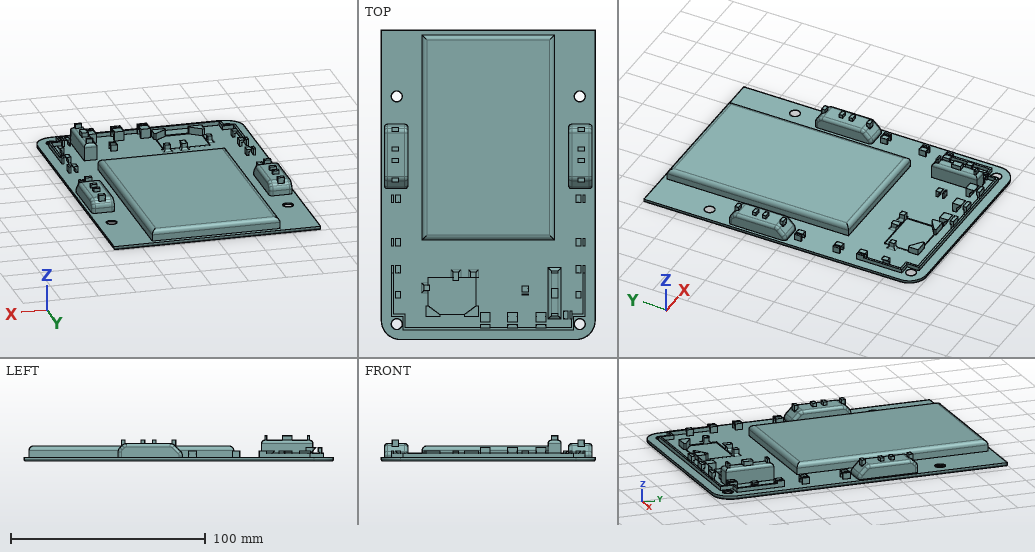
import cadquery as cq

PLATE_WIDTH = 110.0
PLATE_LENGTH = 159.0
PLATE_THICKNESS = 2.0
PLATE_EDGE_RADIUS = 1.0
FRONT_CORNER_RADIUS = 10.0
HALF_WIDTH = PLATE_WIDTH / 2

SINK = 0.2

HOLE_DIAMETER = 5.5
HOLE_INSET = 8.0
COUNTERSINK_DIAMETER = 11.0
HOLE_LAND = 0.2
REAR_HOLE_Y = 125.0

LIP_TOP = 4.1
HOLDER_TOP = 5.3
LED_HOLDER_TOP = 7.0
BATTERY_TOP = 7.9
COVER_TOP = 9.1
COVER_PIN_TOP = 10.9
SWITCH_TOP = 10.8
OVERALL_HEIGHT = 13.1

BATTERY_WIDTH = 68.0
BATTERY_FRONT_Y = 51.2
BATTERY_REAR_Y = 156.5
BATTERY_EDGE_RADIUS = 2.5

LIP_THICKNESS = 1.1
LIP_INSET = 5.3
LIP_FRONT_Y = 5.1
LIP_REAR_Y = 38.2
NOTCH_X_INSET = 11.2
NOTCH_REAR_Y = 12.0

COVER_INSET = 1.6
COVER_WIDTH = 12.2
COVER_FRONT_Y = 77.6
COVER_REAR_Y = 110.7
COVER_SIDE_RADIUS = 1.7
COVER_FRONT_SLOPE = 5.0
COVER_REAR_SLOPE = 3.1
COVER_BEND_RADIUS = 3.3
COVER_PIN_WIDTH = 3.4
COVER_PIN_LENGTH = 2.0
COVER_PIN_INSET = 5.6
COVER_PIN_CENTRE_Y = 95.0
COVER_PIN_OFFSETS = (-13.0, -2.9, 2.9, 13.0)
COVER_PIN_BOTTOM = 7.6

HOLDER_NOSE = 1.6

SIDE_BLOCK_INSET = 7.3
SIDE_BLOCK_WIDTH = 2.7
SIDE_HOLDER_LENGTH = 3.9
SIDE_HOLDER_FRONT_YS = (34.3, 48.1, 70.5)
FRONT_BLOCK_Y = 21.4
FRONT_BLOCK_LENGTH = 3.4

LED_HOLDER_WIDTH = 5.0
LED_HOLDER_XS = (-1.6, 12.5, 27.1)
LED_BLOCK_FRONT_Y = 9.0
LED_BLOCK_LENGTH = 5.0
LED_BLOCK_NOSE = 2.8
LED_PLATE_REAR_Y = 7.9
LED_PLATE_NOSE = 0.6
LED_PLATE_TIP_HEIGHT = 1.9

CENTRE_HOLDER_X = 18.9
CENTRE_HOLDER_WIDTH = 3.3
CENTRE_PLATE_Y = 22.9
CENTRE_PLATE_THICKNESS = 0.6
CENTRE_BLOCK_Y = 24.6
CENTRE_BLOCK_LENGTH = 2.9
CORNER_HOLDER_Y = 10.7
CORNER_HOLDER_LENGTH = 4.0
CORNER_BLOCK_X = 38.6
CORNER_BLOCK_WIDTH = 2.3
CORNER_PLATE_X = 41.9
CORNER_PLATE_THICKNESS = 1.2

RECESS_LEFT = -30.9
RECESS_RIGHT = -6.2
RECESS_FRONT_Y = 12.9
RECESS_REAR_Y = 32.0
RECESS_CORNER_X = 6.1
RECESS_CORNER_Y = 4.5
RECESS_DEPTH = 0.5
STOP_MARGIN = 1.1
CLIP_WIDTH = 2.8
CLIP_FLARE = 1.1
REAR_CLIP_LENGTH = 2.8
LEFT_CLIP_LENGTH = 2.2
NOSED_REAR_CLIP_X = -16.6
PLAIN_REAR_CLIP_X = -7.6
LEFT_CLIP_Y = 26.6
REAR_CLIP_NOSE = 1.7
LEFT_CLIP_NOSE = 0.6

SWITCH_LEFT = 30.7
SWITCH_WIDTH = 6.8
SWITCH_FRONT_Y = 10.6
SWITCH_LENGTH = 26.4
SWITCH_EDGE_RADIUS = 1.7
SWITCH_TAB_THICKNESS = 1.1
SWITCH_SLIDER_LENGTH = 5.0


def block(x, y, width, length, top, bottom=PLATE_THICKNESS - SINK):
    """Upright box with its lower front left corner at (x, y, bottom)."""
    return cq.Workplane("XY").box(width, length, top - bottom, centered=False).translate((x, y, bottom))


def hooked_block(width, length, top, nose, tip_height=0.0):
    """Block centred on X whose -Y face is undercut at 45 degrees below a nose with its tip at Y = 0."""
    base = PLATE_THICKNESS - SINK
    profile = [
        (length, base),
        (length, top),
        (0, top),
        (0, top - tip_height),
        (nose, top - tip_height - nose),
        (nose, base),
    ]
    if tip_height == 0:
        profile.pop(3)
    start = (-width / 2, 0, 0)
    return cq.Workplane("YZ", origin=start).polyline(profile).close().extrude(width)


def turned(shape, angle):
    """Shape turned anticlockwise about Z."""
    return shape.rotate((0, 0, 0), (0, 0, 1), angle)


def both_sides(shape):
    return shape.union(shape.mirror("YZ"))


def plate():
    body = block(-HALF_WIDTH, 0, PLATE_WIDTH, PLATE_LENGTH, PLATE_THICKNESS, 0)
    body = body.edges("|Z and <Y").fillet(FRONT_CORNER_RADIUS)
    body = body.faces("<Z").edges().fillet(PLATE_EDGE_RADIUS)
    hole_x = HALF_WIDTH - HOLE_INSET
    centres = [(x, y) for x in (-hole_x, hole_x) for y in (HOLE_INSET, REAR_HOLE_Y)]
    land_bottom = PLATE_THICKNESS - HOLE_LAND
    half_section = [
        (0, 0),
        (COUNTERSINK_DIAMETER / 2, 0),
        (HOLE_DIAMETER / 2, land_bottom),
        (HOLE_DIAMETER / 2, PLATE_THICKNESS),
        (0, PLATE_THICKNESS),
    ]
    hole = cq.Workplane("XZ").polyline(half_section).close().revolve(axisEnd=(0, 1))
    for x, y in centres:
        body = body.cut(hole.translate((x, y, 0)))
    return body


def battery_housing():
    length = BATTERY_REAR_Y - BATTERY_FRONT_Y
    body = block(-BATTERY_WIDTH / 2, BATTERY_FRONT_Y, BATTERY_WIDTH, length, BATTERY_TOP)
    return body.faces(">Z").edges().fillet(BATTERY_EDGE_RADIUS)


def lip():
    """Thin wall along the front and sides that steps around the two front holes."""

    def area(offset, rear_y):
        side_x = HALF_WIDTH - LIP_INSET - offset
        notch_x = HALF_WIDTH - NOTCH_X_INSET - offset
        front_y = LIP_FRONT_Y + offset
        notch_y = NOTCH_REAR_Y + offset
        outline = [
            (-side_x, rear_y),
            (-side_x, notch_y),
            (-notch_x, notch_y),
            (-notch_x, front_y),
            (notch_x, front_y),
            (notch_x, notch_y),
            (side_x, notch_y),
            (side_x, rear_y),
        ]
        base = PLATE_THICKNESS - SINK
        return cq.Workplane("XY", origin=(0, 0, base)).polyline(outline).close().extrude(LIP_TOP - base)

    return area(0, LIP_REAR_Y).cut(area(LIP_THICKNESS, LIP_REAR_Y + LIP_THICKNESS))


def side_cover():
    """Cover with a bent front and rear slope, rounded along its sides, and its four pins."""
    left = COVER_INSET - HALF_WIDTH
    base = PLATE_THICKNESS - SINK
    profile = [
        (COVER_FRONT_Y, base),
        (COVER_FRONT_Y, COVER_TOP - COVER_FRONT_SLOPE),
        (COVER_FRONT_Y + COVER_FRONT_SLOPE, COVER_TOP),
        (COVER_REAR_Y - COVER_REAR_SLOPE, COVER_TOP),
        (COVER_REAR_Y, COVER_TOP - COVER_REAR_SLOPE),
        (COVER_REAR_Y, base),
    ]
    body = cq.Workplane("YZ", origin=(left, 0, 0)).polyline(profile).close().extrude(COVER_WIDTH)
    bends = cq.selectors.BoxSelector(
        (left, COVER_FRONT_Y - SINK, PLATE_THICKNESS),
        (left + COVER_WIDTH, COVER_REAR_Y + SINK, COVER_TOP + SINK),
    )
    body = body.edges("|X").edges(bends).fillet(COVER_BEND_RADIUS)
    body = body.faces("<X or >X").edges("not <Z").fillet(COVER_SIDE_RADIUS)
    for offset in COVER_PIN_OFFSETS:
        pin_y = COVER_PIN_CENTRE_Y + offset - COVER_PIN_LENGTH / 2
        pin_x = COVER_PIN_INSET - HALF_WIDTH
        body = body.union(
            block(pin_x, pin_y, COVER_PIN_WIDTH, COVER_PIN_LENGTH, COVER_PIN_TOP, COVER_PIN_BOTTOM)
        )
    return body


def side_holders():
    """Blocks with their noses facing outwards, each paired with a plate except beside the lip."""
    block_x = SIDE_BLOCK_INSET - HALF_WIDTH
    plate_x = LIP_INSET - HALF_WIDTH

    def side_block(front_y, length):
        shape = turned(hooked_block(length, SIDE_BLOCK_WIDTH, HOLDER_TOP, HOLDER_NOSE), -90)
        return shape.translate((block_x, front_y + length / 2, 0))

    holders = side_block(FRONT_BLOCK_Y, FRONT_BLOCK_LENGTH)
    for y in SIDE_HOLDER_FRONT_YS:
        holders = holders.union(side_block(y, SIDE_HOLDER_LENGTH))
        holders = holders.union(block(plate_x, y, LIP_THICKNESS, SIDE_HOLDER_LENGTH, HOLDER_TOP))
    return holders


def led_holders():
    """Hooked blocks facing hooked plates that stand against the front lip."""
    plate_length = LED_PLATE_REAR_Y - LIP_FRONT_Y - LIP_THICKNESS + SINK
    led_block = hooked_block(LED_HOLDER_WIDTH, LED_BLOCK_LENGTH, LED_HOLDER_TOP, LED_BLOCK_NOSE)
    led_plate = hooked_block(
        LED_HOLDER_WIDTH, plate_length, LED_HOLDER_TOP, LED_PLATE_NOSE, LED_PLATE_TIP_HEIGHT
    )
    pair = led_block.translate((0, LED_BLOCK_FRONT_Y, 0))
    pair = pair.union(turned(led_plate, 180).translate((0, LED_PLATE_REAR_Y, 0)))
    first, *others = (pair.translate((x, 0, 0)) for x in LED_HOLDER_XS)
    for other in others:
        first = first.union(other)
    return first


def centre_holder():
    hooked = hooked_block(CENTRE_HOLDER_WIDTH, CENTRE_BLOCK_LENGTH, HOLDER_TOP, HOLDER_NOSE)
    hooked = hooked.translate((CENTRE_HOLDER_X, CENTRE_BLOCK_Y, 0))
    plate_x = CENTRE_HOLDER_X - CENTRE_HOLDER_WIDTH / 2
    return hooked.union(
        block(plate_x, CENTRE_PLATE_Y, CENTRE_HOLDER_WIDTH, CENTRE_PLATE_THICKNESS, HOLDER_TOP)
    )


def corner_holder():
    hooked = hooked_block(CORNER_HOLDER_LENGTH, CORNER_BLOCK_WIDTH, HOLDER_TOP, HOLDER_NOSE)
    nose_x = CORNER_BLOCK_X + CORNER_BLOCK_WIDTH
    hooked = turned(hooked, 90).translate((nose_x, CORNER_HOLDER_Y + CORNER_HOLDER_LENGTH / 2, 0))
    return hooked.union(
        block(CORNER_PLATE_X, CORNER_HOLDER_Y, CORNER_PLATE_THICKNESS, CORNER_HOLDER_LENGTH, HOLDER_TOP)
    )


def controller_recess():
    """Shallow pocket with its two front corners cut off."""
    outline = [
        (RECESS_LEFT, RECESS_REAR_Y),
        (RECESS_LEFT, RECESS_FRONT_Y + RECESS_CORNER_Y),
        (RECESS_LEFT + RECESS_CORNER_X, RECESS_FRONT_Y),
        (RECESS_RIGHT - RECESS_CORNER_X, RECESS_FRONT_Y),
        (RECESS_RIGHT, RECESS_FRONT_Y + RECESS_CORNER_Y),
        (RECESS_RIGHT, RECESS_REAR_Y),
    ]
    floor = PLATE_THICKNESS - RECESS_DEPTH
    return cq.Workplane("XY", origin=(0, 0, floor)).polyline(outline).close().extrude(RECESS_DEPTH)


def corner_stops():
    """Blocks that hold the controller's two front corners, sloped along the recess corners."""
    middle_x = (RECESS_LEFT + RECESS_RIGHT) / 2
    left = RECESS_LEFT - STOP_MARGIN
    front_y = RECESS_FRONT_Y - STOP_MARGIN
    rear_y = RECESS_FRONT_Y + RECESS_CORNER_Y
    base = PLATE_THICKNESS - SINK
    outline = [
        (left, front_y),
        (RECESS_LEFT + RECESS_CORNER_X, front_y),
        (RECESS_LEFT + RECESS_CORNER_X, RECESS_FRONT_Y),
        (RECESS_LEFT, rear_y),
        (left, rear_y),
    ]
    stop = cq.Workplane("XY", origin=(0, 0, base)).polyline(outline).close().extrude(HOLDER_TOP - base)
    return stop.union(stop.mirror("YZ", (middle_x, 0, 0)))


def clip(length, nose=0.0):
    """Post behind Y = 0 with a concave flare round its foot and an optional nose reaching over -Y."""
    foot_width = CLIP_WIDTH + 2 * CLIP_FLARE
    foot_length = length + CLIP_FLARE
    flare_top = PLATE_THICKNESS + CLIP_FLARE
    foot = block(-foot_width / 2, 0, foot_width, foot_length, flare_top)
    for side_x in (-foot_width / 2, foot_width / 2):
        groove = cq.Workplane("XZ", origin=(side_x, 0, flare_top)).circle(CLIP_FLARE)
        foot = foot.cut(groove.extrude(-foot_length))
    groove = cq.Workplane("YZ", origin=(-foot_width / 2, foot_length, flare_top)).circle(CLIP_FLARE)
    foot = foot.cut(groove.extrude(foot_width))
    if nose == 0:
        return foot.union(block(-CLIP_WIDTH / 2, 0, CLIP_WIDTH, length, HOLDER_TOP))
    return foot.union(hooked_block(CLIP_WIDTH, length + nose, HOLDER_TOP, nose).translate((0, -nose, 0)))


def controller_clips():
    nosed = clip(REAR_CLIP_LENGTH, REAR_CLIP_NOSE).translate((NOSED_REAR_CLIP_X, RECESS_REAR_Y, 0))
    plain = clip(REAR_CLIP_LENGTH).translate((PLAIN_REAR_CLIP_X, RECESS_REAR_Y, 0))
    left = turned(clip(LEFT_CLIP_LENGTH, LEFT_CLIP_NOSE), 90).translate((RECESS_LEFT, LEFT_CLIP_Y, 0))
    return nosed.union(plain).union(left)


def slide_switch():
    """Rounded housing with an end tab at each end and a slider in the middle."""
    body = block(SWITCH_LEFT, SWITCH_FRONT_Y, SWITCH_WIDTH, SWITCH_LENGTH, SWITCH_TOP)
    body = body.faces(">Z").edges().fillet(SWITCH_EDGE_RADIUS)
    x = SWITCH_LEFT + SWITCH_EDGE_RADIUS
    width = SWITCH_WIDTH - 2 * SWITCH_EDGE_RADIUS
    front_tab_y = SWITCH_FRONT_Y + SWITCH_EDGE_RADIUS
    rear_tab_y = SWITCH_FRONT_Y + SWITCH_LENGTH - SWITCH_EDGE_RADIUS - SWITCH_TAB_THICKNESS
    slider_y = SWITCH_FRONT_Y + (SWITCH_LENGTH - SWITCH_SLIDER_LENGTH) / 2
    base = SWITCH_TOP - SINK
    for y in (front_tab_y, rear_tab_y):
        body = body.union(block(x, y, width, SWITCH_TAB_THICKNESS, OVERALL_HEIGHT, base))
    return body.union(block(x, slider_y, width, SWITCH_SLIDER_LENGTH, OVERALL_HEIGHT, base))


result = plate().cut(controller_recess())
for feature in (
    battery_housing(),
    lip(),
    both_sides(side_cover()),
    both_sides(side_holders()),
    led_holders(),
    centre_holder(),
    corner_holder(),
    corner_stops(),
    controller_clips(),
    slide_switch(),
):
    result = result.union(feature)